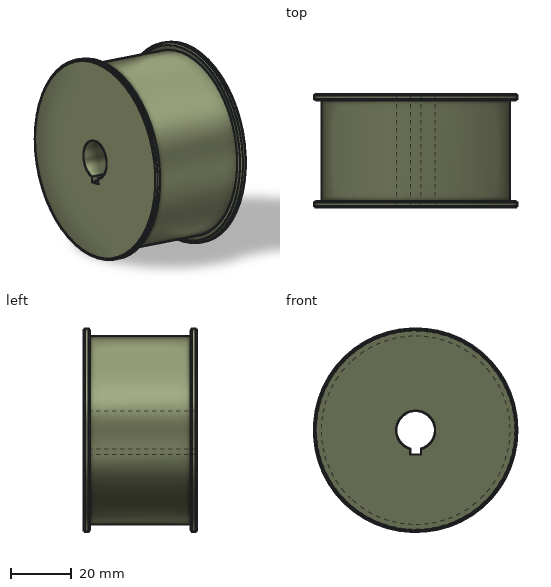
import cadquery as cq

flange_diameter = 67.0
drum_diameter = 62.1
total_width = 37.3
front_y = -total_width / 2
flange_thickness = 2.15
outer_edge_chamfer = 0.55
inner_chamfer_width = 0.55
inner_chamfer_height = 0.9

bore_diameter = 12.7
keyway_width = 3.4
keyway_depth_from_axis = 8.0


def disc(diameter, width, start_y):
    """Cylinder along +Y, starting at start_y."""
    plane = cq.Workplane("XZ", origin=(0, start_y, 0))
    return plane.circle(diameter / 2).extrude(-width)


def front_flange():
    """Rim disc at the -Y end, with its outer and drum-side edges broken."""
    radius = flange_diameter / 2
    inner_y = front_y + flange_thickness
    profile = [
        (0, front_y),
        (radius - outer_edge_chamfer, front_y),
        (radius, front_y + outer_edge_chamfer),
        (radius, inner_y - inner_chamfer_width),
        (radius - inner_chamfer_height, inner_y),
        (0, inner_y),
    ]
    return cq.Workplane("XY").polyline(profile).close().revolve(360, (0, 0), (0, 1))


drum = disc(drum_diameter, total_width, front_y)
flange = front_flange()
body = drum.union(flange).union(flange.mirror("XZ"))

bore = disc(bore_diameter, total_width, front_y)
keyway = cq.Workplane("XY").box(keyway_width, total_width, keyway_depth_from_axis)
keyway = keyway.translate((0, 0, -keyway_depth_from_axis / 2))

result = body.cut(bore).cut(keyway)